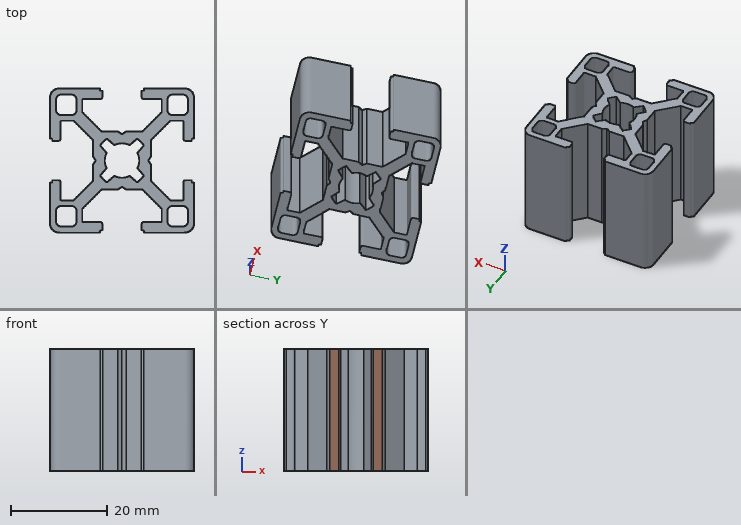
import cadquery as cq
import math

side = 30.0
length = 25.4
corner_radius = 2.0

slot_opening = 8.1
flange_thickness = 2.25
pocket_width = 16.5
pocket_fillet = 0.2
core_width = 12.1
web_thickness = 2.54

lip_step = 0.5
lip_step_fillet = 0.2
lip_tip_fillet = 0.15
lip_inner_fillet = 0.5

groove_width = 1.75
groove_depth = 0.55

wall = 1.33
chamber_size = 4.2
chamber_fillet = 1.0

bore_diameter = 7.1
flute_reach = 5.5
flute_end_width = 1.95
flute_taper = 4.2

half_side = side / 2
half_opening = slot_opening / 2
half_pocket = pocket_width / 2
half_core = core_width / 2
flange_inner = half_side - flange_thickness
web_offset = web_thickness / math.sqrt(2)


def body():
    """Square bar with rounded long edges."""
    return cq.Workplane("XY").rect(side, side).extrude(length).edges("|Z").fillet(corner_radius)


def t_slot():
    """Cutter for the slot in the +Y side, with sharp corners."""
    right_half = [
        (groove_width / 2, half_core),
        (half_core - web_offset, half_core),
        (half_pocket, half_pocket + web_offset),
        (half_pocket, flange_inner),
        (half_opening, flange_inner),
        (half_opening, half_side - lip_step),
        (half_opening + lip_step, half_side - lip_step),
        (half_opening + lip_step, half_side),
    ]
    left_half = [(-x, y) for x, y in reversed(right_half)]
    groove_bottom = (0, half_core - groove_depth)
    outline = [groove_bottom] + right_half + left_half
    return cq.Workplane("XY").polyline(outline).close().extrude(length)


def edges_at(part, x, y):
    """Four long edges of the part that are a quarter turn apart, starting at (x, y)."""
    spots = [(x, y), (-y, x), (-x, -y), (y, -x)]
    selector = cq.selectors.NearestToPointSelector
    edges = [part.edges("|Z").edges(selector((px, py, length / 2))).val() for px, py in spots]
    return part.newObject(edges)


def round_slot_corners(part):
    """Round the pocket corner and the inner, tip and step corners at all eight lips."""
    step_wall = half_opening + lip_step
    step_floor = half_side - lip_step
    for sign in (1, -1):
        part = edges_at(part, sign * half_pocket, flange_inner).fillet(pocket_fillet)
        part = edges_at(part, sign * half_opening, flange_inner).fillet(lip_inner_fillet)
        part = edges_at(part, sign * step_wall, half_side).fillet(lip_step_fillet)
        part = edges_at(part, sign * step_wall, step_floor).fillet(lip_step_fillet)
        part = edges_at(part, sign * half_opening, step_floor).fillet(lip_tip_fillet)
    return part


def corner_chambers():
    """Cutter for the four rounded square chambers."""
    spacing = side - 2 * wall - chamber_size
    chambers = cq.Workplane("XY").rarray(spacing, spacing, 2, 2).rect(chamber_size, chamber_size)
    return chambers.extrude(length).edges("|Z").fillet(chamber_fillet)


def fluted_bore():
    """Cutter for the central bore and its flutes."""
    half_end = flute_end_width / 2
    half_root = half_end + flute_reach * math.tan(math.radians(flute_taper))
    end_x = math.sqrt(flute_reach**2 - half_end**2)
    flute = (
        cq.Workplane("XY")
        .moveTo(0, -half_root)
        .lineTo(end_x, -half_end)
        .threePointArc((flute_reach, 0), (end_x, half_end))
        .lineTo(0, half_root)
        .close()
        .extrude(length)
    )
    bore = cq.Workplane("XY").circle(bore_diameter / 2).extrude(length)
    for angle in (45, 135, 225, 315):
        bore = bore.union(flute.rotate((0, 0, 0), (0, 0, 1), angle))
    return bore


result = body()
for slot_angle in (0, 90, 180, 270):
    result = result.cut(t_slot().rotate((0, 0, 0), (0, 0, 1), slot_angle))
result = round_slot_corners(result)
result = result.cut(corner_chambers()).cut(fluted_bore())